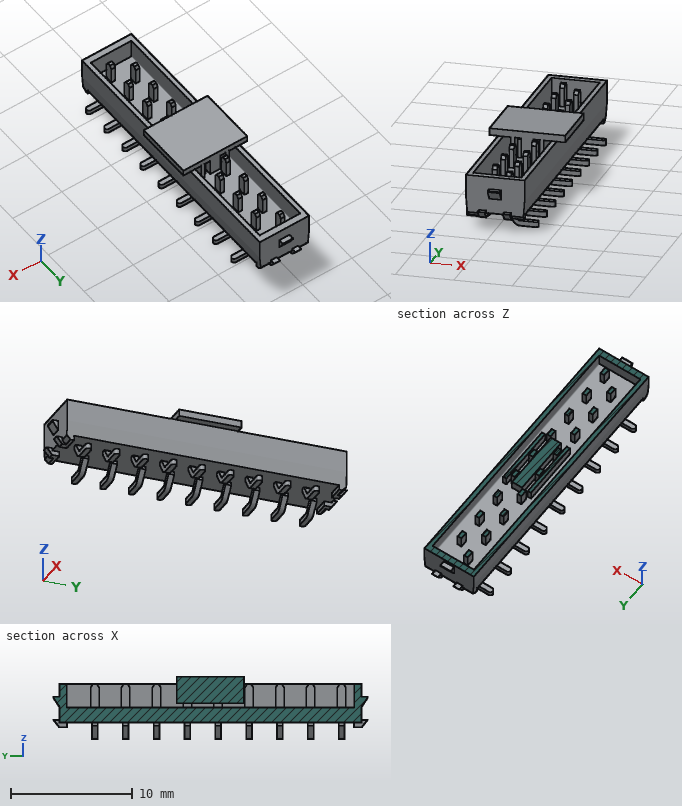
import cadquery as cq
import math

OVERALL_LENGTH = 25.89
OVERALL_WIDTH = 6.5
OVERALL_HEIGHT = 5.15

CAP_LENGTH = 5.56
CAP_THICKNESS = 0.6
RIB_DEPTH = 1.6
MIDDLE_RIB_WIDTH = 1.04
SIDE_RIB_INNER_X = 1.07
SIDE_RIB_OUTER_X = 1.42

HOUSING_WIDTH = 5.02
HOUSING_FOOT_WIDTH = 4.76
TAPER_START = 2.63
HOUSING_UNDERSIDE = 1.37
FOOT_BOTTOM = 0.97
FOOT_LENGTH = 0.65
FOOT_INNER_X = 0.78
END_CHAMFER = 0.34

CAVITY_WIDTH = 4.13
CAVITY_FLOOR = 2.63
CAVITY_FLOOR_FILLET = 0.1
END_WALL = 0.63

HOOK_REACH = 0.49
CLIP_WIDTH = 1.04
CLIP_TOP = 3.5
CLIP_BOTTOM = 2.65
CLIP_LIP = 0.1
FOOT_HOOK_WIDTH = 0.6
FOOT_HOOK_TOP = 1.59

CONTACT_COUNT = 18
PITCH = 1.27
ROW_X = 0.775
CONTACT_THICKNESS = 0.4
PIN_WIDTH = 0.7
PIN_TOP = 4.55
PIN_TIP_CHAMFER_RISE = 0.3
PIN_TIP_CHAMFER_RUN = 0.19
LEAD_WIDTH = 0.5
LEAD_THICKNESS = 0.45
LEAD_SLOPE = math.radians(53)
LEAD_FLAT_START = 1.64
BEND_RADIUS = 0.7

HOUSING_TOP = OVERALL_HEIGHT - CAP_THICKNESS
HOUSING_LENGTH = OVERALL_LENGTH - 2 * HOOK_REACH
HALF_LENGTH = HOUSING_LENGTH / 2
HALF_SPAN = OVERALL_WIDTH / 2


def block(width, length, bottom, top, x=0):
    """Upright block centred on Y = 0, with its middle at the given X."""
    return (
        cq.Workplane("XY")
        .box(width, length, top - bottom, centered=(True, True, False))
        .translate((x, 0, bottom))
    )


def x_profile(points, length):
    """Closed outline in X-Z, extruded to a length centred on Y = 0."""
    return cq.Workplane("XZ").polyline(points).close().extrude(length / 2, both=True)


def y_profile(points, width):
    """Closed outline in Y-Z, extruded to a width centred on X = 0."""
    return cq.Workplane("YZ").polyline(points).close().extrude(width / 2, both=True)


def both_ends(shape):
    """The shape together with its copy turned half round to the other end."""
    return shape.union(shape.rotate((0, 0, 0), (0, 0, 1), 180))


def make_shell():
    """Housing block with its feet, chamfered lower ends and open cavity."""
    half_top = HOUSING_WIDTH / 2
    half_foot = HOUSING_FOOT_WIDTH / 2
    outer = x_profile(
        [
            (-half_foot, FOOT_BOTTOM),
            (half_foot, FOOT_BOTTOM),
            (half_top, TAPER_START),
            (half_top, HOUSING_TOP),
            (-half_top, HOUSING_TOP),
            (-half_top, TAPER_START),
        ],
        HOUSING_LENGTH,
    )
    between_ends = block(
        HOUSING_WIDTH, HOUSING_LENGTH - 2 * FOOT_LENGTH, FOOT_BOTTOM, HOUSING_UNDERSIDE
    )
    between_feet = block(2 * FOOT_INNER_X, HOUSING_LENGTH, FOOT_BOTTOM, HOUSING_UNDERSIDE)
    end_chamfer = y_profile(
        [
            (HALF_LENGTH, FOOT_BOTTOM),
            (HALF_LENGTH - END_CHAMFER, FOOT_BOTTOM),
            (HALF_LENGTH, FOOT_BOTTOM + END_CHAMFER),
        ],
        HOUSING_WIDTH,
    )
    cavity = block(CAVITY_WIDTH, HOUSING_LENGTH - 2 * END_WALL, CAVITY_FLOOR, HOUSING_TOP)
    cavity = cavity.faces("<Z").edges("|Y").fillet(CAVITY_FLOOR_FILLET)
    return outer.cut(between_ends).cut(between_feet).cut(both_ends(end_chamfer)).cut(cavity)


def make_clips():
    """Middle clip on each end wall: flat top, short lip and sloping underside."""
    tip = HALF_LENGTH + HOOK_REACH
    clip = y_profile(
        [
            (HALF_LENGTH, CLIP_TOP),
            (tip, CLIP_TOP),
            (tip, CLIP_TOP - CLIP_LIP),
            (HALF_LENGTH, CLIP_BOTTOM),
        ],
        CLIP_WIDTH,
    )
    return both_ends(clip)


def make_foot_hooks():
    """Pair of sharp hooks on each end, filling the foot chamfer behind them."""
    root = HALF_LENGTH - END_CHAMFER
    hook = y_profile(
        [
            (root, FOOT_HOOK_TOP),
            (HALF_LENGTH + HOOK_REACH, FOOT_HOOK_TOP),
            (HALF_LENGTH, FOOT_BOTTOM),
            (root, FOOT_BOTTOM),
        ],
        FOOT_HOOK_WIDTH,
    )
    hook_x = FOOT_INNER_X + FOOT_HOOK_WIDTH / 2
    pair = hook.translate((hook_x, 0, 0)).union(hook.translate((-hook_x, 0, 0)))
    return both_ends(pair)


def make_cap():
    """Pick-up cap lying across the rim, with a middle rib and two side ribs."""
    cap = block(OVERALL_WIDTH, CAP_LENGTH, HOUSING_TOP, OVERALL_HEIGHT)
    rib_bottom = HOUSING_TOP - RIB_DEPTH
    side_rib_width = SIDE_RIB_OUTER_X - SIDE_RIB_INNER_X
    side_rib_x = (SIDE_RIB_OUTER_X + SIDE_RIB_INNER_X) / 2
    ribs = [(MIDDLE_RIB_WIDTH, 0), (side_rib_width, side_rib_x), (side_rib_width, -side_rib_x)]
    for width, x in ribs:
        cap = cap.union(block(width, CAP_LENGTH, rib_bottom, HOUSING_TOP, x))
    return cap


def make_pin():
    """Upright pin of the +X row at Y = 0, with a chamfered tip."""
    half_width = PIN_WIDTH / 2
    half_tip = half_width - PIN_TIP_CHAMFER_RUN
    shoulder = PIN_TOP - PIN_TIP_CHAMFER_RISE
    pin = y_profile(
        [
            (-half_width, HOUSING_UNDERSIDE),
            (half_width, HOUSING_UNDERSIDE),
            (half_width, shoulder),
            (half_tip, PIN_TOP),
            (-half_tip, PIN_TOP),
            (-half_width, shoulder),
        ],
        CONTACT_THICKNESS,
    )
    return pin.translate((ROW_X, 0, 0))


def make_lead():
    """Lead of the +X row at Y = 0: down, sloping outwards, then flat with a round end."""
    inner = ROW_X - CONTACT_THICKNESS / 2
    outer = ROW_X + CONTACT_THICKNESS / 2
    bend_x = LEAD_FLAT_START - LEAD_THICKNESS * math.tan(LEAD_SLOPE / 2)
    rise = math.tan(LEAD_SLOPE)
    lead = x_profile(
        [
            (inner, HOUSING_UNDERSIDE),
            (inner, (bend_x - inner) * rise),
            (bend_x, 0),
            (HALF_SPAN, 0),
            (HALF_SPAN, LEAD_THICKNESS),
            (LEAD_FLAT_START, LEAD_THICKNESS),
            (outer, LEAD_THICKNESS + (LEAD_FLAT_START - outer) * rise),
            (outer, HOUSING_UNDERSIDE),
        ],
        LEAD_WIDTH,
    )
    bend_edge = cq.selectors.NearestToPointSelector((bend_x, 0, 0))
    lead = lead.edges(bend_edge).fillet(BEND_RADIUS)
    half_width = LEAD_WIDTH / 2
    rounded_plan = (
        cq.Workplane("XY")
        .moveTo(0, -half_width)
        .lineTo(HALF_SPAN - half_width, -half_width)
        .threePointArc((HALF_SPAN, 0), (HALF_SPAN - half_width, half_width))
        .lineTo(0, half_width)
        .close()
        .extrude(HOUSING_UNDERSIDE)
    )
    return lead.intersect(rounded_plan)


def make_contacts():
    """All contacts, the rows taking turns along the length, starting at +X."""
    right_contact = make_pin().union(make_lead())
    left_contact = right_contact.mirror("YZ")
    contacts = cq.Workplane("XY")
    for index in range(CONTACT_COUNT):
        y = (index - (CONTACT_COUNT - 1) / 2) * PITCH
        contact = right_contact if index % 2 == 0 else left_contact
        contacts = contacts.add(contact.translate((0, y, 0)))
    return contacts.combine()


result = (
    make_shell()
    .union(make_clips())
    .union(make_foot_hooks())
    .union(make_cap())
    .union(make_contacts())
)